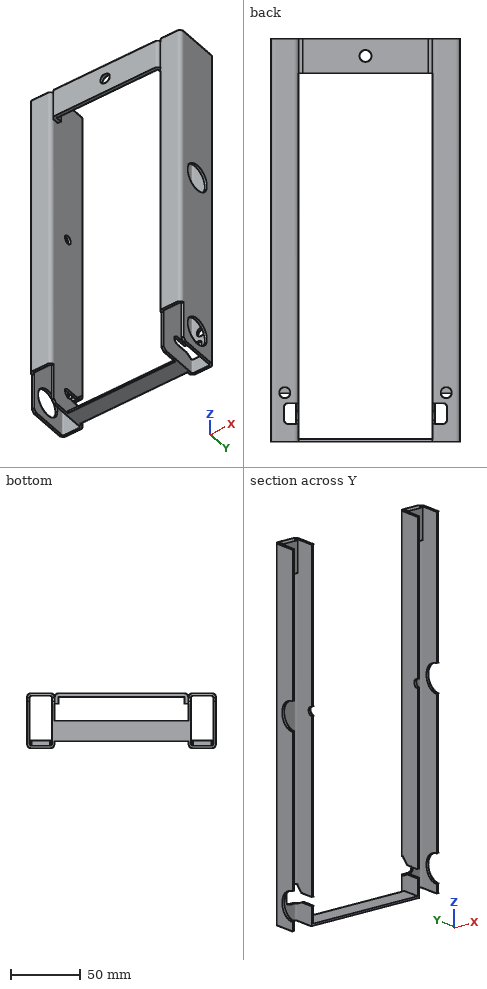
import cadquery as cq

HEIGHT = 292.0
WIDTH = 137.0
DEPTH = 40.0
INNER_GAP = 97.0

WALL = 2.01
BEND_RADIUS = 3.2
INNER_BEND_RADIUS = BEND_RADIUS - WALL

POST_WIDTH = (WIDTH - INNER_GAP) / 2
POST_CENTER_X = (WIDTH - POST_WIDTH) / 2
GAP_SIDE_X = INNER_GAP / 2
MIDDLE_Y = DEPTH / 2

FOOT_HEIGHT = 35.0
FOOT_CHAMFER = 2.5

BOLT_DIAMETER = 7.0
ACCESS_DIAMETER = 23.5
MIDDLE_BOLT_Z = 164.5
SLOT_Z = 19.0

WINDOW_WIDTH = 10.5
WINDOW_HEIGHT = 15.0
WINDOW_Z = 20.5
WINDOW_CORNER_RADIUS = 3.0
FLARE_LENGTH = 5.3

BACK_HOLE_DIAMETER = 8.0
BACK_HOLE_Z = 35.5

STOP_DEPTH = 3.8
STOP_HEIGHT = 25.0

CROSSBAR_HEIGHT = 25.0
CROSSBAR_THICKNESS = 3.0
CROSSBAR_FLANGE = 8.0
CROSSBAR_HOLE_DIAMETER = 8.5
CROSSBAR_HOLE_DROP = 12.5
TIE_DEPTH = 15.0


def box(x_min, x_max, y_min, y_max, z_min, z_max):
    """Axis-aligned block given by its limits."""
    size = (x_max - x_min, y_max - y_min, z_max - z_min)
    return cq.Workplane("XY").box(*size, centered=False).translate((x_min, y_min, z_min))


def x_cylinder(diameter, z, x_min, x_max):
    """Cylinder along X on the middle plane of the post depth."""
    circle = cq.Workplane("YZ", origin=(x_min, MIDDLE_Y, z)).circle(diameter / 2)
    return circle.extrude(x_max - x_min)


def post_tube():
    """Rectangular tube with rounded bends."""
    outer = box(GAP_SIDE_X, WIDTH / 2, 0, DEPTH, 0, HEIGHT).edges("|Z").fillet(BEND_RADIUS)
    cavity = box(GAP_SIDE_X + WALL, WIDTH / 2 - WALL, WALL, DEPTH - WALL, 0, HEIGHT)
    return outer.cut(cavity.edges("|Z").fillet(INNER_BEND_RADIUS))


def stop_plate():
    """Narrow plate between the inner bends, standing forward from the back wall."""
    half_width = POST_WIDTH / 2 - BEND_RADIUS
    return box(
        POST_CENTER_X - half_width, POST_CENTER_X + half_width,
        DEPTH - WALL - STOP_DEPTH, DEPTH - WALL,
        HEIGHT - STOP_HEIGHT, HEIGHT,
    )


def foot_opening():
    """Removes the front wall at the foot and bevels the side walls below it."""
    profile = (
        cq.Workplane("YZ", origin=(GAP_SIDE_X, 0, 0))
        .lineTo(BEND_RADIUS + FOOT_CHAMFER, 0)
        .lineTo(BEND_RADIUS, FOOT_CHAMFER)
        .lineTo(BEND_RADIUS, FOOT_HEIGHT)
        .lineTo(0, FOOT_HEIGHT)
        .close()
    )
    return profile.extrude(POST_WIDTH)


def side_holes():
    """Bolt hole and slot in the inner wall, with access holes in the outer wall."""
    inner_wall = (GAP_SIDE_X, GAP_SIDE_X + WALL)
    outer_wall = (WIDTH / 2 - WALL, WIDTH / 2)
    holes = x_cylinder(BOLT_DIAMETER, MIDDLE_BOLT_Z, *inner_wall)
    holes = holes.union(x_cylinder(BOLT_DIAMETER, SLOT_Z, *inner_wall))
    half_slot = BOLT_DIAMETER / 2
    holes = holes.union(box(*inner_wall, MIDDLE_Y, DEPTH, SLOT_Z - half_slot, SLOT_Z + half_slot))
    for z in (MIDDLE_BOLT_Z, SLOT_Z):
        holes = holes.union(x_cylinder(ACCESS_DIAMETER, z, *outer_wall))
    return holes


def slot_flare():
    """Widens the slot in the inner wall to the height of the window at the back bend."""
    flare_end_y = DEPTH - BEND_RADIUS
    flare_start_y = flare_end_y - FLARE_LENGTH
    half_slot = BOLT_DIAMETER / 2
    half_window = WINDOW_HEIGHT / 2
    profile = (
        cq.Workplane("YZ", origin=(GAP_SIDE_X, 0, 0))
        .moveTo(flare_start_y, SLOT_Z - half_slot)
        .lineTo(flare_end_y, WINDOW_Z - half_window)
        .lineTo(flare_end_y, WINDOW_Z + half_window)
        .lineTo(flare_start_y, SLOT_Z + half_slot)
        .close()
    )
    return profile.extrude(WALL)


def back_openings():
    """Hook window at the inner back corner and the hole above it."""
    window = box(
        GAP_SIDE_X, GAP_SIDE_X + WINDOW_WIDTH,
        DEPTH - BEND_RADIUS, DEPTH,
        WINDOW_Z - WINDOW_HEIGHT / 2, WINDOW_Z + WINDOW_HEIGHT / 2,
    )
    window = window.edges("|Y and >X").fillet(WINDOW_CORNER_RADIUS)
    hole = (
        cq.Workplane("XZ", origin=(POST_CENTER_X, DEPTH, BACK_HOLE_Z))
        .circle(BACK_HOLE_DIAMETER / 2)
        .extrude(WALL)
    )
    return window.union(hole)


def post():
    """Complete post on the +X side."""
    body = post_tube().union(stop_plate())
    for cutter in (foot_opening(), side_holes(), slot_flare(), back_openings()):
        body = body.cut(cutter)
    return body


def crossbar():
    """Channel across the top front, its flanges bent back along the posts."""
    bottom = HEIGHT - CROSSBAR_HEIGHT
    outer = box(-GAP_SIDE_X, GAP_SIDE_X, 0, CROSSBAR_FLANGE, bottom, HEIGHT)
    outer = outer.edges("|Z and <Y").fillet(BEND_RADIUS)
    inner_x = GAP_SIDE_X - CROSSBAR_THICKNESS
    channel = outer.cut(box(-inner_x, inner_x, CROSSBAR_THICKNESS, CROSSBAR_FLANGE, bottom, HEIGHT))
    hole_z = HEIGHT - CROSSBAR_HOLE_DROP
    hole = cq.Workplane("XZ", origin=(0, CROSSBAR_THICKNESS, hole_z)).circle(CROSSBAR_HOLE_DIAMETER / 2)
    return channel.cut(hole.extrude(CROSSBAR_THICKNESS))


def tie():
    """Flat strip joining the feet, running back from the middle of the depth."""
    return box(-GAP_SIDE_X, GAP_SIDE_X, MIDDLE_Y, MIDDLE_Y + TIE_DEPTH, 0, WALL)


right_post = post()
left_post = right_post.mirror("YZ")
result = right_post.union(left_post).union(crossbar()).union(tie())